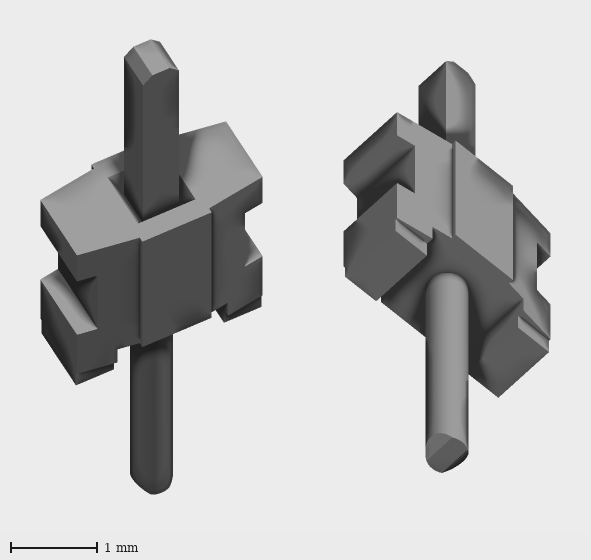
import cadquery as cq

total_height = 8.13
housing_top = 5.59
foot_bottom = 3.05
foot_height = 0.5
body_bottom = foot_bottom + foot_height

slab_width = 1.27
slab_length = 0.91
housing_length = 2.44
wing_root_width = 1.14
wing_end_width = 0.91

notch_top = housing_top - 0.5
notch_bottom = 4.06
notch_depth = 0.25

foot_length = 0.495
toe_width = 0.86
toe_height = 0.25

funnel_width = 0.76
funnel_depth = 0.25

blade_width = 0.47
blade_chamfer = 0.12
pin_diameter = 0.5
pin_chamfer = 0.13


def block(width, length, bottom, top, center_y=0.0):
    """Rectangular block centered on X, between two heights."""
    return (
        cq.Workplane("XY", origin=(0, center_y, bottom))
        .rect(width, length)
        .extrude(top - bottom)
    )


def make_wings():
    """Tapered wings with end notches, the feet included down to the toes."""
    end_y = housing_length / 2
    root_y = slab_length / 2
    toe_top = foot_bottom + toe_height
    wings = (
        cq.Workplane("XY", origin=(0, 0, toe_top))
        .moveTo(-wing_end_width / 2, -end_y)
        .lineTo(wing_end_width / 2, -end_y)
        .lineTo(wing_root_width / 2, -root_y)
        .lineTo(wing_root_width / 2, root_y)
        .lineTo(wing_end_width / 2, end_y)
        .lineTo(-wing_end_width / 2, end_y)
        .lineTo(-wing_root_width / 2, root_y)
        .lineTo(-wing_root_width / 2, -root_y)
        .close()
        .extrude(housing_top - toe_top)
    )
    gap_between_feet = housing_length - 2 * foot_length
    wings = wings.cut(block(slab_width, gap_between_feet, toe_top, body_bottom))
    for side in (-1, 1):
        notch_y = side * (end_y - notch_depth / 2)
        wings = wings.cut(block(slab_width, notch_depth, notch_bottom, notch_top, notch_y))
    return wings


def make_funnel_hole():
    """Square through hole for the blade, flared at the top."""
    hole = block(blade_width, blade_width, body_bottom, housing_top)
    funnel = (
        cq.Workplane("XY", origin=(0, 0, housing_top - funnel_depth))
        .rect(blade_width, blade_width)
        .workplane(offset=funnel_depth)
        .rect(funnel_width, funnel_width)
        .loft(combine=True)
    )
    return hole.union(funnel)


def make_housing():
    """Slab, wings and toes with the flared hole through the middle."""
    housing = block(slab_width, slab_length, body_bottom, housing_top).union(make_wings())
    for side in (-1, 1):
        toe_y = side * (housing_length - foot_length) / 2
        toe = block(toe_width, foot_length, foot_bottom, foot_bottom + toe_height, toe_y)
        housing = housing.union(toe)
    return housing.cut(make_funnel_hole())


def make_blade():
    """Square blade from the housing underside up, its tip beveled on both Y sides."""
    blade = block(blade_width, blade_width, body_bottom, total_height)
    return blade.faces(">Z").edges("|X").chamfer(blade_chamfer)


def make_round_pin():
    """Round pin below the blade, its tip beveled by a flat on both Y sides."""
    pin = cq.Workplane("XY").circle(pin_diameter / 2).extrude(body_bottom)
    beveled_envelope = (
        block(pin_diameter, pin_diameter, 0, body_bottom)
        .faces("<Z")
        .edges("|X")
        .chamfer(pin_chamfer)
    )
    return pin.intersect(beveled_envelope)


housing = make_housing().solids()
blade = make_blade().solids()
round_pin = make_round_pin().solids()

result = cq.Compound.makeCompound([housing.val(), blade.val(), round_pin.val()])